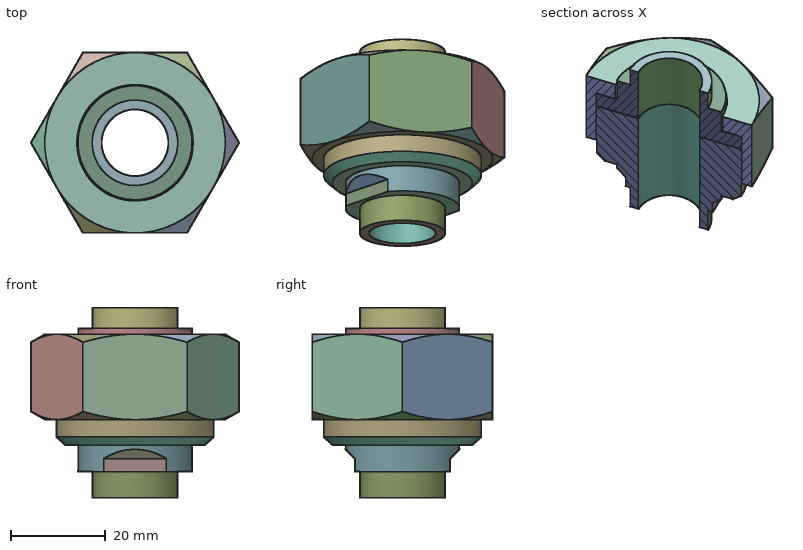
import cadquery as cq
import math


BORE_D = 14.0
SPIGOT_D = 18.0
NECK_D = 24.0
THREAD_D = 33.2
TOTAL_H = 40.0

NUT_CORNERS = 43.9
NUT_FLATS = NUT_CORNERS * math.cos(math.pi / 6)
NUT_BOTTOM = 16.45
NUT_H = 18.0
NUT_TOP = NUT_BOTTOM + NUT_H
NUT_CHAMFER_ANGLE = 30.0
NUT_LIP = 4.4
NUT_LIP_D = 24.5

BODY_SPIGOT_H = 5.55
NECK_TOP = 11.1
BODY_CHAMFER_H = 1.7
BODY_CHAMFER_W = 1.9
FLAT_WIDTH = 20.0
FLAT_TOP = 8.2

FLANGE_H = 3.5
FLANGE_TOP = NUT_TOP - NUT_LIP
FLANGE_BOTTOM = FLANGE_TOP - FLANGE_H
COLLAR_TOP = 35.67


def revolve_profile(points):
    """Revolve a closed (radius, height) outline about the Z axis."""
    return cq.Workplane("XZ").polyline(points).close().revolve(360, (0, 0), (0, 1))


def make_nut():
    hexagon = cq.Workplane("XY").workplane(offset=NUT_BOTTOM).polygon(6, NUT_CORNERS).extrude(NUT_H)

    face_r = NUT_FLATS / 2
    corner_r = NUT_CORNERS / 2
    chamfer_h = (corner_r - face_r) * math.tan(math.radians(NUT_CHAMFER_ANGLE))
    envelope = revolve_profile([
        (0, NUT_BOTTOM),
        (face_r, NUT_BOTTOM),
        (corner_r, NUT_BOTTOM + chamfer_h),
        (corner_r, NUT_TOP - chamfer_h),
        (face_r, NUT_TOP),
        (0, NUT_TOP),
    ])

    cavity = revolve_profile([
        (0, NUT_BOTTOM),
        (THREAD_D / 2, NUT_BOTTOM),
        (THREAD_D / 2, FLANGE_TOP),
        (NUT_LIP_D / 2, FLANGE_TOP),
        (NUT_LIP_D / 2, NUT_TOP),
        (0, NUT_TOP),
    ])
    return hexagon.intersect(envelope).cut(cavity)


def make_flat_cutter():
    """Material removed for the wrench flat on the +Y side of the neck."""
    flat_y = FLAT_WIDTH / 2
    neck_r = NECK_D / 2
    slope_top = FLAT_TOP + neck_r - flat_y
    return (
        cq.Workplane("YZ")
        .moveTo(flat_y, BODY_SPIGOT_H)
        .lineTo(flat_y, FLAT_TOP)
        .lineTo(neck_r, slope_top)
        .lineTo(neck_r, BODY_SPIGOT_H)
        .close()
        .extrude(neck_r, both=True)
    )


def make_body():
    thread_r = THREAD_D / 2
    body = revolve_profile([
        (BORE_D / 2, 0),
        (SPIGOT_D / 2, 0),
        (SPIGOT_D / 2, BODY_SPIGOT_H),
        (NECK_D / 2, BODY_SPIGOT_H),
        (NECK_D / 2, NECK_TOP),
        (thread_r - BODY_CHAMFER_W, NECK_TOP),
        (thread_r, NECK_TOP + BODY_CHAMFER_H),
        (thread_r, FLANGE_BOTTOM),
        (BORE_D / 2, FLANGE_BOTTOM),
    ])
    flat_cutter = make_flat_cutter()
    return body.cut(flat_cutter).cut(flat_cutter.mirror("XZ"))


def make_tailpiece():
    return revolve_profile([
        (BORE_D / 2, FLANGE_BOTTOM),
        (THREAD_D / 2, FLANGE_BOTTOM),
        (THREAD_D / 2, FLANGE_TOP),
        (NECK_D / 2, FLANGE_TOP),
        (NECK_D / 2, COLLAR_TOP),
        (SPIGOT_D / 2, COLLAR_TOP),
        (SPIGOT_D / 2, TOTAL_H),
        (BORE_D / 2, TOTAL_H),
    ])


nut = make_nut()
body = make_body()
tailpiece = make_tailpiece()

result = cq.Compound.makeCompound([nut.val(), body.val(), tailpiece.val()])